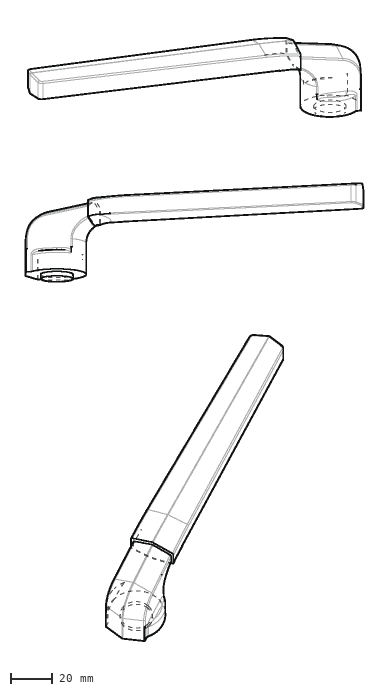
import cadquery as cq
import math


def apex_allowance(rounding, drop, half_width):
    """How far a sharp ridge stands above the same ridge once it is rounded."""
    return rounding * (math.hypot(drop, half_width) / half_width - 1)


overall_height = 39.6
pin_height = 2.2
hub_top = 12.0

pin_diameter = 15.8
hub_diameter = 28.6
hub_radius = hub_diameter / 2
hub_rounding = 1.5
ledge_blend = 1.5

nose_y = 15.8
nose_setback = 3.2
nose_corner_y = nose_y - nose_setback
neck_half_width_back = 10.5
neck_half_width_front = 10.0
bend_base = 19.5
bend_end_y = 3.2
bend_end_ridge = 33.5
neck_end_ridge = 37.1
neck_roof_drop = 3.2
neck_rounding = 0.8
sharp_nose_y = nose_y + apex_allowance(neck_rounding, nose_setback, neck_half_width_back)

arch_radius = 11.0
arch_base = 17.6
neck_end_y = -hub_radius - arch_radius

overall_length = 169.5
handle_start_y = -18.6
handle_end_y = nose_y - overall_length
handle_level_y = -36.5
handle_bottom = arch_base + arch_radius
handle_start_dip = 0.5
handle_roof_drop = 2.2
eave_start_dip = 1.5
handle_half_width_start = 11.4
handle_half_width_end = 9.0
tip_setback = 2.4
skirt_offset = 0.8

tip_corner_rounding = 2.2
roof_rounding = 0.8
bottom_rounding = 0.5
sharp_end_y = handle_end_y - apex_allowance(roof_rounding, tip_setback, handle_half_width_start)
sharp_top = overall_height + apex_allowance(
    roof_rounding, handle_roof_drop, handle_half_width_start
)

margin = 0.2


def tapered_prism(y_a, half_width_a, y_b, half_width_b):
    """Tall block whose width changes evenly between two Y positions."""
    corners = [
        (-half_width_a, y_a),
        (half_width_a, y_a),
        (half_width_b, y_b),
        (-half_width_b, y_b),
    ]
    return cq.Workplane("XY").polyline(corners).close().extrude(2 * overall_height)


def neck_prism():
    """Tall block between the two side faces of the neck."""
    return tapered_prism(
        sharp_nose_y, neck_half_width_back, neck_end_y, neck_half_width_front
    )


def roofed_bar(half_width, ridge_outline, eave_outline):
    """Ruled solid from the ridge outline at X = 0 to an eave outline on each side."""
    ridge = ridge_outline.val()
    halves = []
    for side in (-1, 1):
        eave = eave_outline.val().moved(cq.Location(cq.Vector(side * half_width, 0, 0)))
        halves.append(cq.Workplane(cq.Solid.makeLoft([ridge, eave], True)))
    return halves[0].union(halves[1])


def space_under_arch(clearance):
    """Half ring in front of the hub, with the arch as its concave upper inner edge."""
    inner = hub_radius + clearance
    arch_end = inner + arch_radius
    outer = 2 * arch_end
    arch_middle = (
        arch_end - arch_radius * math.sqrt(0.5),
        arch_base + arch_radius * math.sqrt(0.5),
    )
    return (
        cq.Workplane("XZ")
        .moveTo(inner, 0)
        .lineTo(inner, arch_base)
        .threePointArc(arch_middle, (arch_end, handle_bottom))
        .lineTo(outer, handle_bottom)
        .lineTo(outer, 0)
        .close()
        .revolve(180, (0, 0, 0), (0, -1, 0))
    )


def neck_outline(setback, drop):
    """Side outline of the neck, moved in from the nose and down from the ridge."""
    back_y = sharp_nose_y - setback
    bend_end = (bend_end_y, bend_end_ridge - drop)
    slope = (neck_end_ridge - bend_end_ridge) / (bend_end_y - handle_start_y)
    end_top = bend_end[1] + slope * (bend_end_y - neck_end_y)
    run = back_y - bend_end[0]
    rise = bend_end[1] - bend_base
    radius = (run**2 + rise**2) / (2 * run)
    half_turn = math.atan2(run, rise)
    bend_middle = (
        back_y - radius * (1 - math.cos(half_turn)),
        bend_base + radius * math.sin(half_turn),
    )
    return (
        cq.Workplane("YZ")
        .moveTo(neck_end_y, pin_height)
        .lineTo(back_y, pin_height)
        .lineTo(back_y, bend_base)
        .threePointArc(bend_middle, bend_end)
        .lineTo(neck_end_y, end_top)
        .close()
    )


def is_ridge(edge):
    """True for the middle edge that runs up the nose, along the roof and down the tip."""
    extent = edge.BoundingBox()
    return max(abs(extent.xmin), abs(extent.xmax)) < margin


def is_neck_long_edge(edge):
    """True for ridge, nose corners, eaves, arch edges and front corners of the column."""
    centre = edge.Center()
    beside = abs(centre.x) > neck_half_width_front - margin
    above_base = centre.z > pin_height + margin
    return (beside and above_base and centre.y > neck_end_y + margin) or is_ridge(edge)


def make_neck():
    neck = roofed_bar(
        neck_half_width_back,
        neck_outline(0, 0),
        neck_outline(nose_setback, neck_roof_drop),
    )
    neck = neck.intersect(neck_prism()).cut(space_under_arch(0))
    return neck.edges().filter(is_neck_long_edge).fillet(neck_rounding)


def handle_outline(setback, drop, start_dip):
    """Side outline of the handle; its top bends down towards the neck."""
    end_y = sharp_end_y + setback
    top = sharp_top - drop
    run = handle_start_y - handle_level_y
    radius = (run**2 + start_dip**2) / (2 * start_dip)
    half_turn = math.atan2(start_dip, run)
    bend_middle = (
        handle_level_y + radius * math.sin(half_turn),
        top - radius * (1 - math.cos(half_turn)),
    )
    return (
        cq.Workplane("YZ")
        .moveTo(handle_start_y, handle_bottom)
        .lineTo(end_y, handle_bottom)
        .lineTo(end_y, top)
        .lineTo(handle_level_y, top)
        .threePointArc(bend_middle, (handle_start_y, top - start_dip))
        .close()
    )


def is_tip_corner(edge):
    """True for the two upright corners beside the pointed tip."""
    centre = edge.Center()
    upright = edge.BoundingBox().ylen < roof_rounding
    return upright and abs(centre.x) > tip_setback and centre.y < handle_end_y + 2 * tip_setback


def is_roof_edge(edge):
    """True for the ridge, the eaves and the upper tip edges, not the roof seams."""
    centre = edge.Center()
    high = centre.z > overall_height - handle_roof_drop - 2 * eave_start_dip
    on_seam = abs(centre.y - handle_level_y) < margin
    return is_ridge(edge) or (high and not on_seam and centre.y < handle_start_y - margin)


def is_bottom_border(edge):
    """True for the bottom outline except the edge at the start of the handle."""
    centre = edge.Center()
    return centre.z < handle_bottom + margin and centre.y < handle_start_y - margin


def make_handle():
    taper = tapered_prism(
        handle_start_y, handle_half_width_start, sharp_end_y, handle_half_width_end
    )
    handle = roofed_bar(
        handle_half_width_start,
        handle_outline(0, 0, handle_start_dip),
        handle_outline(tip_setback, handle_roof_drop, eave_start_dip),
    ).intersect(taper)
    handle = handle.edges().filter(is_tip_corner).fillet(tip_corner_rounding)
    handle = handle.edges().filter(is_roof_edge).fillet(roof_rounding)
    handle = handle.edges().filter(is_bottom_border).fillet(bottom_rounding)

    skirt = (
        cq.Workplane("XY", origin=(0, handle_start_y, arch_base))
        .rect(hub_diameter, 2 * arch_radius)
        .extrude(arch_radius + bottom_rounding)
        .intersect(taper)
        .cut(space_under_arch(skirt_offset))
    )
    return handle.union(skirt)


def is_ledge_edge(edge):
    """True where the flange meets the side faces of the neck."""
    centre = edge.Center()
    beside = neck_half_width_front < abs(centre.x) < neck_half_width_back
    on_flange = pin_height + margin < centre.z < hub_top + margin
    return beside and on_flange and abs(centre.y) < neck_half_width_back


def make_hub():
    """Pin and flange; the ledges beside the neck blend into its side faces."""
    disc = (
        cq.Workplane("XY", origin=(0, 0, pin_height))
        .circle(hub_radius)
        .extrude(hub_top - pin_height)
        .faces(">Z")
        .edges()
        .fillet(hub_rounding)
    )
    blend_top = hub_top + ledge_blend
    core = (
        cq.Workplane("XY", origin=(0, nose_corner_y - hub_diameter, pin_height))
        .rect(hub_diameter, 2 * hub_diameter)
        .extrude(2 * blend_top)
        .intersect(neck_prism())
    )
    flange = disc.union(core).edges().filter(is_ledge_edge).fillet(ledge_blend)
    trim = (
        cq.Workplane("XY")
        .circle(hub_radius)
        .extrude(blend_top)
        .union(
            cq.Workplane("XY", origin=(0, hub_radius / 2, 0))
            .rect(hub_diameter, hub_radius)
            .extrude(blend_top)
        )
    )
    pin = cq.Workplane("XY").circle(pin_diameter / 2).extrude(hub_top)
    return flange.intersect(trim).union(pin)


result = make_neck().union(make_hub()).union(make_handle())